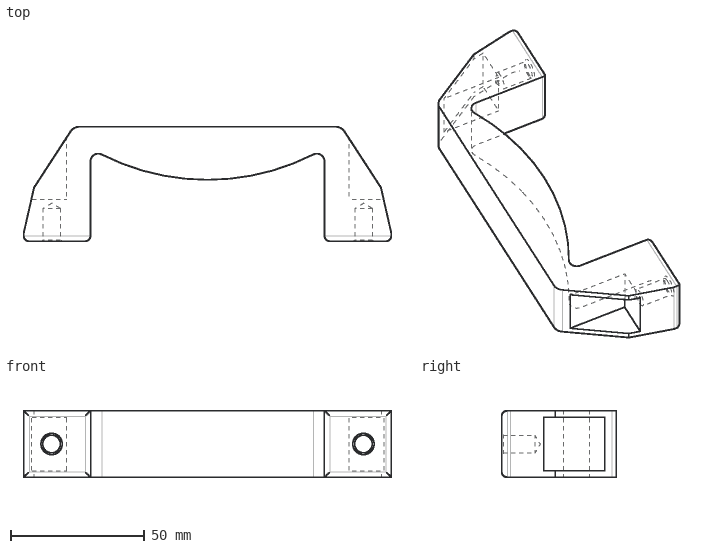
import cadquery as cq
import math

length = 138.0
depth = 43.0
height = 25.0
half_length = length / 2
back_y = depth / 2
foot_y = -depth / 2

back_half_width = 50.2
shoulder_x = 65.1
shoulder_y = back_y - 22.9
heel_y = back_y - 39.9
back_corner_radius = 4.0

foot_width = 25.1
inner_x = half_length - foot_width
grip_thickness = 20.0
grip_radius = 87.6
opening_corner_radius = 2.9
foot_edge_radius = 2.1

hole_x = 58.5
hole_diameter = 6.6
hole_mouth_diameter = 8.0
hole_depth = 12.4
drill_tip_angle = 118.0

recess_top_y = back_y - 4.3
recess_length = 22.9
recess_wall = 2.5


def grip_y(x):
    """Y of the bulging grip arc at a given X."""
    centre_y = back_y - grip_thickness + grip_radius
    return centre_y - math.sqrt(grip_radius**2 - x**2)


def slant_x(y):
    """Distance from the middle plane to the slanted side at a given Y."""
    fraction = (back_y - y) / (back_y - shoulder_y)
    return back_half_width + fraction * (shoulder_x - back_half_width)


def make_body():
    opening_y = grip_y(inner_x)
    body = (
        cq.Workplane("XY")
        .workplane(offset=-height / 2)
        .moveTo(-back_half_width, back_y)
        .lineTo(back_half_width, back_y)
        .lineTo(shoulder_x, shoulder_y)
        .lineTo(half_length, heel_y)
        .lineTo(half_length, foot_y)
        .lineTo(inner_x, foot_y)
        .lineTo(inner_x, opening_y)
        .threePointArc((0, back_y - grip_thickness), (-inner_x, opening_y))
        .lineTo(-inner_x, foot_y)
        .lineTo(-half_length, foot_y)
        .lineTo(-half_length, heel_y)
        .lineTo(-shoulder_x, shoulder_y)
        .close()
        .extrude(height)
    )
    body = body.edges("|Z and >Y").fillet(back_corner_radius)
    for side in (-1, 1):
        corner = cq.selectors.NearestToPointSelector((side * inner_x, opening_y, 0))
        body = body.edges("|Z").edges(corner).fillet(opening_corner_radius)
    return body.faces("<Y").edges().fillet(foot_edge_radius)


def make_hole(side):
    """Drilled hole with a chamfered mouth and a conical tip, revolved about its axis."""
    radius = hole_diameter / 2
    mouth_radius = hole_mouth_diameter / 2
    tip_length = radius / math.tan(math.radians(drill_tip_angle / 2))
    return (
        cq.Workplane("XY")
        .moveTo(0, 0)
        .lineTo(mouth_radius, 0)
        .lineTo(radius, mouth_radius - radius)
        .lineTo(radius, hole_depth)
        .lineTo(0, hole_depth + tip_length)
        .close()
        .revolve(360, (0, 0, 0), (0, 1, 0))
        .translate((side * hole_x, foot_y, 0))
    )


def make_recess(side):
    """Recess whose flat floor runs out where its back end meets the slanted side."""
    floor_x = slant_x(recess_top_y)
    recess_depth = half_length - floor_x
    return cq.Workplane("XY").box(recess_depth, recess_length, height - 2 * recess_wall).translate(
        (side * (floor_x + recess_depth / 2), recess_top_y - recess_length / 2, 0)
    )


result = make_body()
for side in (-1, 1):
    result = result.cut(make_hole(side)).cut(make_recess(side))